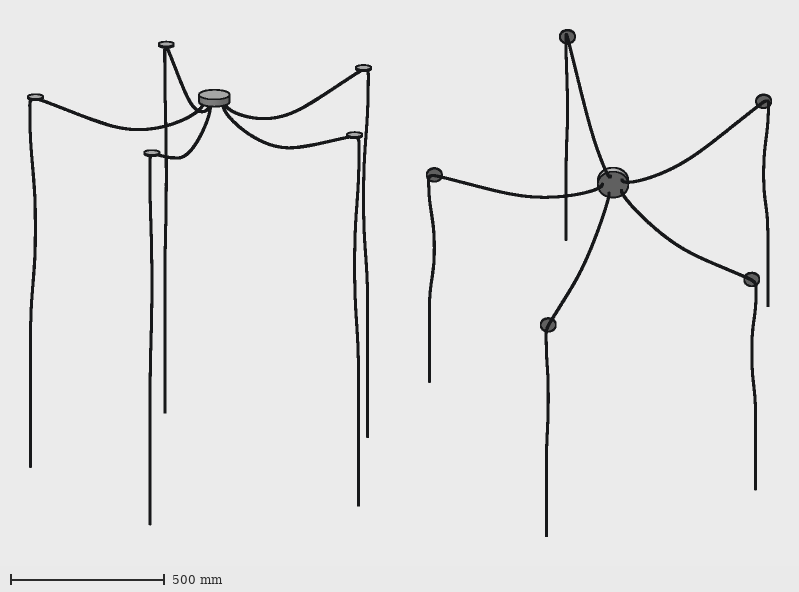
import cadquery as cq

ARM_COUNT = 5
ARM_STEP = 360 / ARM_COUNT
FIRST_ARM_ANGLE = ARM_STEP / 2

CANOPY_RADIUS = 50
CANOPY_HEIGHT = 25
TOTAL_HEIGHT = 1286

DISC_DISTANCE = 582.35
DISC_RADIUS = 25
DISC_THICKNESS = 5
DISC_TOP = -15

CABLE_RADIUS = 2.5
CABLE_SINK = 0.5

EXIT_R = 35
EXIT_Z = -CANOPY_HEIGHT
RISE_R = 548
RISE_Z = -33
RISE_SLOPE = 0.38
ARCH_R = DISC_DISTANCE + 3
ARCH_Z = DISC_TOP - DISC_THICKNESS + CABLE_SINK - CABLE_RADIUS
SHOULDER_R = 601
SHOULDER_Z = -45
WAIST_R = 582.5
WAIST_Z = -465
STRAIGHT_R = 598.5
STRAIGHT_Z = -850

EXIT_CONTROL_Z = -90
SAG_CONTROL_R = 283
SAG_CONTROL_Z = -168
RISE_CONTROL_Z = RISE_Z - RISE_SLOPE * (RISE_R - SAG_CONTROL_R)
SWAG_CONTROLS = [
    (EXIT_R, EXIT_CONTROL_Z),
    (SAG_CONTROL_R, SAG_CONTROL_Z),
    (SAG_CONTROL_R, RISE_CONTROL_Z),
]


def make_canopy():
    return cq.Workplane("XY").circle(CANOPY_RADIUS).extrude(-CANOPY_HEIGHT)


def sway(path, r_start, z_start, r_end, z_end):
    """Continue the path with an S-curve that is vertical at both ends."""
    z_middle = (z_start + z_end) / 2
    return path.bezier([(r_start, z_middle), (r_end, z_middle), (r_end, z_end)], includeCurrent=True)


def make_cable_axis():
    path = cq.Workplane("XZ").moveTo(EXIT_R, EXIT_Z)
    path = path.bezier([*SWAG_CONTROLS, (RISE_R, RISE_Z)], includeCurrent=True)
    level_r = RISE_R + (ARCH_Z - RISE_Z) / RISE_SLOPE
    path = path.bezier([(level_r, ARCH_Z), (ARCH_R, ARCH_Z)], includeCurrent=True)
    path = path.bezier([(SHOULDER_R, ARCH_Z), (SHOULDER_R, SHOULDER_Z)], includeCurrent=True)
    path = sway(path, SHOULDER_R, SHOULDER_Z, WAIST_R, WAIST_Z)
    path = sway(path, WAIST_R, WAIST_Z, STRAIGHT_R, STRAIGHT_Z)
    return path.lineTo(STRAIGHT_R, -TOTAL_HEIGHT).wire()


def make_cable():
    section = cq.Workplane("XY", origin=(EXIT_R, 0, EXIT_Z)).circle(CABLE_RADIUS)
    return section.sweep(make_cable_axis())


def make_disc():
    top_center = (DISC_DISTANCE, 0, DISC_TOP)
    return cq.Workplane("XY", origin=top_center).circle(DISC_RADIUS).extrude(-DISC_THICKNESS)


def make_arm(angle):
    """One cable and its ceiling disc, joined as a single body."""
    arm = make_cable().union(make_disc())
    return arm.rotate((0, 0, 0), (0, 0, 1), angle).solids().val()


canopy = make_canopy()
arms = [make_arm(FIRST_ARM_ANGLE + i * ARM_STEP) for i in range(ARM_COUNT)]

result = cq.Compound.makeCompound([canopy.val(), *arms])